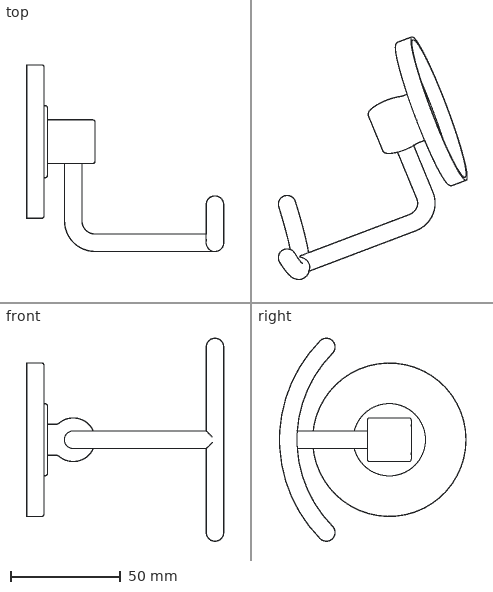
import cadquery as cq
import math

overall_x = 89.7
overall_y = 85.0
overall_z = 92.5

cup_diameter = 69.9
cup_depth = 7.95
cup_wall = 1.5
cup_floor = 1.5
cup_fillet = 1.1

flange_diameter = 32.9
flange_thickness = 1.6
flange_fillet = 1.2
neck_width = 14.2
boss_diameter = 20.0
boss_length = 20.0
boss_x = 21.2
boss_fillet = 1.1
neck_corner_fillet = 1.85

rod_diameter = 8.0
bend_radius = 10.0

rod_radius = rod_diameter / 2
flange_end_x = cup_depth + flange_thickness
boss_face_y = -boss_length / 2
bar_x = overall_x - rod_radius
arm_y = cup_diameter / 2 - overall_y + rod_radius
bar_arc_radius = 60.0
bar_tip_z = overall_z / 2 - rod_radius
bar_arc_center_y = arm_y + bar_arc_radius
bar_tip_y = bar_arc_center_y - math.sqrt(bar_arc_radius**2 - bar_tip_z**2)


def make_cup():
    """Round shell with a rounded edge around its closed +X side."""
    shell = cq.Workplane("YZ").circle(cup_diameter / 2).extrude(cup_depth)
    shell = shell.faces(">X").edges().fillet(cup_fillet)
    cavity = (
        cq.Workplane("YZ")
        .circle(cup_diameter / 2 - cup_wall)
        .extrude(cup_depth - cup_floor)
    )
    return shell.cut(cavity)


def make_holder():
    """Flange on the cup, with a neck that carries the boss."""
    flange = (
        cq.Workplane("YZ", origin=(cup_depth, 0, 0))
        .circle(flange_diameter / 2)
        .extrude(flange_thickness)
        .faces(">X").edges().fillet(flange_fillet)
    )
    boss = cq.Workplane("XZ").circle(boss_diameter / 2).extrude(boss_length / 2, both=True)
    neck_length = boss_x - flange_end_x
    neck = cq.Workplane("XY").box(neck_length, boss_length, neck_width).translate((-neck_length / 2, 0, 0))
    arm = boss.union(neck).translate((boss_x, 0, 0))

    corner_x = boss_x - math.sqrt((boss_diameter / 2)**2 - (neck_width / 2)**2)
    corner_box = cq.selectors.BoxSelector(
        (corner_x - neck_corner_fillet, -boss_length, -boss_diameter),
        (corner_x + neck_corner_fillet, boss_length, boss_diameter),
    )
    arm = arm.edges(corner_box).edges("|Y").fillet(neck_corner_fillet)
    arm = arm.faces("<Y or >Y").edges("not(<X)").fillet(boss_fillet)
    return flange.union(arm)


def make_hook():
    """Rod from the boss face, bent toward +X, ending in the curved bar."""
    rod_path = (
        cq.Workplane("XY")
        .moveTo(boss_x, boss_face_y)
        .lineTo(boss_x, arm_y + bend_radius)
        .radiusArc((boss_x + bend_radius, arm_y), -bend_radius)
        .lineTo(bar_x, arm_y)
    )
    rod = (
        cq.Workplane("XZ", origin=(boss_x, boss_face_y, 0))
        .circle(rod_radius)
        .sweep(rod_path)
    )

    half_angle = math.degrees(math.asin(bar_tip_z / bar_arc_radius))
    bar = (
        cq.Workplane("XY", origin=(bar_x, arm_y, 0))
        .circle(rod_radius)
        .revolve(2 * half_angle, (0, bar_arc_radius, 0), (1, bar_arc_radius, 0))
        .rotate((0, bar_arc_center_y, 0), (1, bar_arc_center_y, 0), -half_angle)
    )
    hook = rod.union(bar)
    for tip_z in (-bar_tip_z, bar_tip_z):
        ball = cq.Workplane("XY").sphere(rod_radius).translate((bar_x, bar_tip_y, tip_z))
        hook = hook.union(ball)
    return hook


cup = make_cup()
holder = make_holder()
hook = make_hook()

result = cq.Compound.makeCompound([cup.val(), holder.val(), hook.val()])